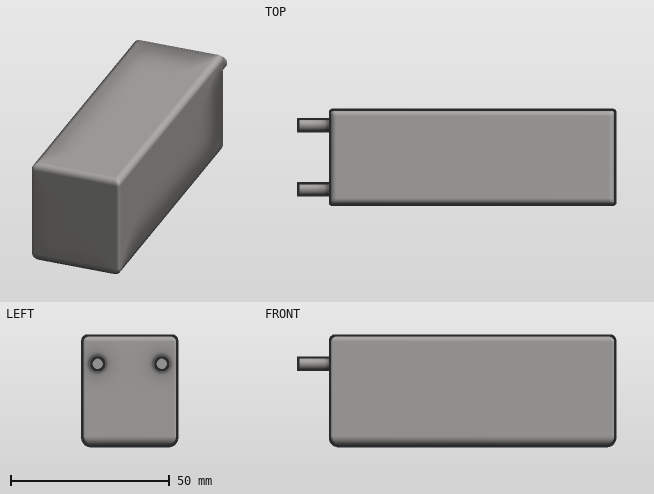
import cadquery as cq

overall_length = 100.0
pin_length = 10.0
body_length = overall_length - pin_length
body_width = 30.0
body_height = 35.0

side_radius = 1.0
top_radius = 2.0
bottom_radius = 3.0

pin_diameter = 4.0
pin_spacing = 20.2
pin_height = 26.0


def make_body():
    """Block with its own rounding radius for the upright, top and bottom edges."""
    block = cq.Workplane("XY").box(body_length, body_width, body_height, centered=(True, True, False))
    block = block.edges("|Z").fillet(side_radius)
    block = block.faces(">Z").edges().fillet(top_radius)
    return block.faces("<Z").edges().fillet(bottom_radius)


def make_pins():
    """Two round pins projecting in -X from the end face."""
    return (
        cq.Workplane("YZ", origin=(-body_length / 2, 0, pin_height))
        .pushPoints([(-pin_spacing / 2, 0), (pin_spacing / 2, 0)])
        .circle(pin_diameter / 2)
        .extrude(-pin_length)
    )


result = make_body().union(make_pins())